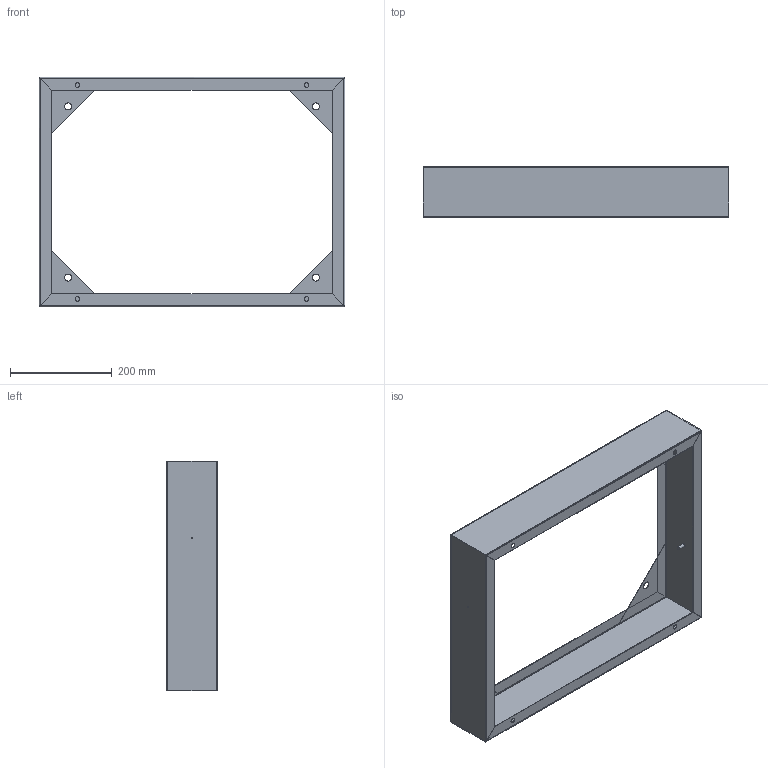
import cadquery as cq

width = 600.0
depth = 100.0
height = 450.0

sheet = 1.0
inner_bend = 1.0
outer_bend = inner_bend + sheet
flange = 25.0

fixing_diameter = 9.0
fixing_spacing = 450.0
fixing_inset = 15.0

gusset_leg = 130.0
gusset_thickness = 1.0
gusset_hole_diameter = 14.0
gusset_hole_inset = 57.0

stud_diameter = 6.0
stud_collar_diameter = 7.5
stud_collar_thickness = 1.0
stud_length = 15.0
stud_offset = 75.0
pilot_diameter = 1.0

half_width = width / 2
half_depth = depth / 2
half_height = height / 2


def channel(length):
    """U channel along X: outer face of the web on Z = 0, flanges pointing down."""
    outer = (
        cq.Workplane("XY")
        .box(length, depth, flange, centered=(True, True, False))
        .translate((0, 0, -flange))
        .edges("|X and >Z")
        .fillet(outer_bend)
    )
    cavity = (
        cq.Workplane("XY")
        .box(length, depth - 2 * sheet, flange, centered=(True, True, False))
        .translate((0, 0, -flange - sheet))
        .edges("|X and >Z")
        .fillet(inner_bend)
    )
    return outer.cut(cavity)


def mitred_channel(length):
    """Channel cut off at 45 degrees at both ends."""
    half = length / 2
    outline = [
        (-half, 0),
        (half, 0),
        (half - flange, -flange),
        (flange - half, -flange),
    ]
    keep = cq.Workplane("XZ").polyline(outline).close().extrude(half_depth, both=True)
    return channel(length).intersect(keep)


def horizontal_rail():
    """Top rail with two fixing holes through its front flange."""
    fixing_holes = (
        cq.Workplane("XZ")
        .pushPoints([(side * fixing_spacing / 2, -fixing_inset) for side in (-1, 1)])
        .circle(fixing_diameter / 2)
        .extrude(half_depth)
    )
    return mitred_channel(width).cut(fixing_holes).translate((0, 0, half_height))


def side_rail():
    """Left side rail with a small pilot hole through its web."""
    pilot_hole = (
        cq.Workplane("YZ")
        .center(0, stud_offset)
        .circle(pilot_diameter / 2)
        .extrude(-width)
    )
    rail = mitred_channel(height).rotate((0, 0, 0), (0, 1, 0), -90)
    return rail.translate((-half_width, 0, 0)).cut(pilot_hole)


def gusset(x_side, z_side):
    """Triangular plate in one corner, with its square corner clear of the inner bends."""
    clearance = sheet + inner_bend
    corner_x = half_width - clearance
    corner_z = half_height - clearance
    outline = [
        (x_side * corner_x, z_side * corner_z),
        (x_side * (corner_x - gusset_leg), z_side * corner_z),
        (x_side * corner_x, z_side * (corner_z - gusset_leg)),
    ]
    hole_x = x_side * (half_width - gusset_hole_inset)
    hole_z = z_side * (half_height - gusset_hole_inset)
    rear_face = half_depth - sheet
    plate = (
        cq.Workplane("XZ", origin=(0, rear_face, 0))
        .polyline(outline)
        .close()
        .extrude(gusset_thickness)
    )
    hole = (
        cq.Workplane("XZ", origin=(hole_x, rear_face, hole_z))
        .circle(gusset_hole_diameter / 2)
        .extrude(gusset_thickness)
    )
    return plate.cut(hole)


def stud():
    """Stud with a thin base collar, standing on the inner face of the right side rail."""
    base = cq.Workplane("YZ", origin=(half_width - sheet, 0, -stud_offset))
    collar = base.circle(stud_collar_diameter / 2).extrude(-stud_collar_thickness)
    shank = base.circle(stud_diameter / 2).extrude(-stud_length)
    return collar.union(shank)


def opposite_pair(body):
    """The body and a copy turned half a turn about the Y axis."""
    return [body.rotate((0, 0, 0), (0, 1, 0), angle) for angle in (0, 180)]


horizontal_rails = opposite_pair(horizontal_rail())
side_rails = opposite_pair(side_rail())
gussets = [gusset(x_side, z_side) for x_side in (-1, 1) for z_side in (-1, 1)]
rail_stud = stud()

bodies = [*horizontal_rails, *side_rails, *gussets, rail_stud]
result = cq.Compound.makeCompound([body.val() for body in bodies])